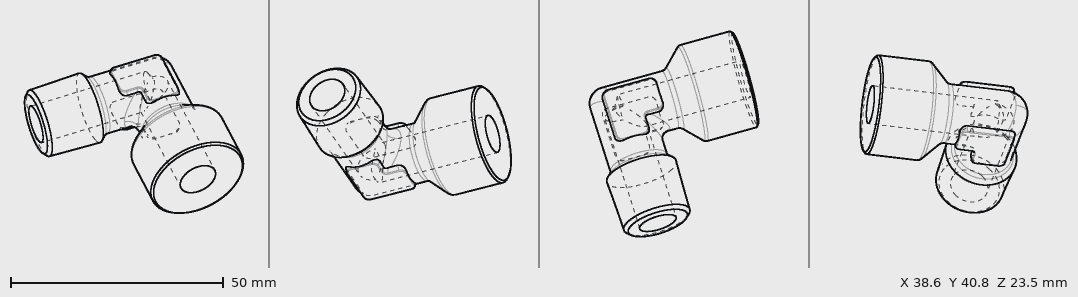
import cadquery as cq
import math

overall_width = 38.55
overall_length = 40.75
female_radius = 23.5 / 2
male_radius = 17.1 / 2
neck_radius = 14.0 / 2
male_direction = -90

female_length = overall_width - male_radius
male_length = overall_length - female_radius

female_shoulder = 17.0
female_rim_fillet = 1.0
female_end_chamfer = 0.5

male_shoulder = 15.35
male_end_chamfer = 0.85
male_taper = 1 / 16
male_end_radius = male_radius - (male_length - male_shoulder) * male_taper / 2

cone_root_fillet = 1.65

neck_overrun = 2 * neck_radius
outer_blend = neck_radius / 2
inner_blend = 2.5

pad_height = 7.1
pad_root = 4.08
pad_half_width = 3.95
pad_reach = 8.95
pad_draft = 10.0
pad_corner_radius = 1.4
pad_notch_radius = 0.98
pad_edge_fillet = 0.25

relief_height = 6.72
relief_half_width = 3.25

bore_radius = 8.95 / 2
drill_point_angle = 120.0


def circle_edge_at(x):
    """Selector for the circular edge of a turned arm in the plane at x."""
    margin = 0.05
    low = (x - margin, -overall_length, -overall_length)
    high = (x + margin, overall_length, overall_length)
    return cq.selectors.BoxSelector(low, high, boundingbox=True)


def turned_arm(length, shoulder, shoulder_radius, end_radius, end_chamfer):
    """Arm along +X: neck, filleted 45 degree cone, then the end with its chamfer."""
    cone_start = shoulder - (shoulder_radius - neck_radius)
    return (
        cq.Workplane("XY")
        .moveTo(-neck_overrun, 0)
        .lineTo(-neck_overrun, neck_radius)
        .lineTo(cone_start, neck_radius)
        .lineTo(shoulder, shoulder_radius)
        .lineTo(length, end_radius)
        .lineTo(length, 0)
        .close()
        .revolve(360, (0, 0, 0), (1, 0, 0))
        .faces(">X")
        .chamfer(end_chamfer)
        .edges(circle_edge_at(cone_start))
        .fillet(cone_root_fillet)
    )


def female_arm():
    arm = turned_arm(female_length, female_shoulder, female_radius, female_radius, female_end_chamfer)
    return arm.edges(circle_edge_at(female_shoulder)).fillet(female_rim_fillet)


def male_arm():
    arm = turned_arm(male_length, male_shoulder, male_radius, male_end_radius, male_end_chamfer)
    return arm.rotate((0, 0, 0), (0, 0, 1), male_direction)


def mitre_trim(arm, facing):
    """Keep the half of an arm beyond the Z axis in the facing direction (degrees)."""
    size = 2 * overall_length
    half_space = cq.Workplane("XY").box(size, size, size, centered=(False, True, True))
    return arm.intersect(half_space.rotate((0, 0, 0), (0, 0, 1), facing))


def elbow():
    """Both arms joined on the plane X = -Y, with the outer and inner edges blended."""
    body = mitre_trim(female_arm(), 45).union(mitre_trim(male_arm(), -135))

    relief_width = 2 * relief_half_width
    relief = cq.Workplane("XY").workplane(offset=relief_height)
    relief = relief.rect(relief_width, relief_width).extrude(neck_radius)
    body = body.cut(relief).cut(relief.mirror("XY"))

    r = neck_radius
    outer_edges = cq.selectors.BoxSelector((-r, 0, -r), (0, r, r))
    inner_edges = cq.selectors.BoxSelector((0, -r, -r), (r, 0, r))
    body = body.edges("%ELLIPSE").edges(outer_edges).fillet(outer_blend)
    return body.edges("%ELLIPSE").edges(inner_edges).fillet(inner_blend)


def pad_outline():
    """L outline of the flat face: five outer corners and one notch, all rounded."""
    half = pad_half_width
    corners = [
        (pad_reach, half, pad_corner_radius),
        (pad_reach, -half, pad_corner_radius),
        (half, -half, pad_notch_radius),
        (half, -pad_reach, pad_corner_radius),
        (-half, -pad_reach, pad_corner_radius),
        (-half, half, pad_corner_radius),
    ]
    outline = cq.Workplane("XY").moveTo(0, half)
    for index, (x, y, radius) in enumerate(corners):
        corner = cq.Vector(x, y)
        previous = cq.Vector(*corners[index - 1][:2])
        following = cq.Vector(*corners[(index + 1) % len(corners)][:2])
        to_start = (previous - corner).normalized() * radius
        to_end = (following - corner).normalized() * radius
        arc_start = corner + to_start
        arc_middle = corner + (to_start + to_end) * (1 - math.sqrt(0.5))
        arc_end = corner + to_end
        outline = outline.lineTo(arc_start.x, arc_start.y)
        outline = outline.threePointArc((arc_middle.x, arc_middle.y), (arc_end.x, arc_end.y))
    return outline.close()


def pad():
    """Upper pad, drafted outward from its flat face down into the elbow."""
    blank = pad_outline().extrude(pad_root - pad_height, taper=-pad_draft)
    return blank.faces(">Z").edges().fillet(pad_edge_fillet).translate((0, 0, pad_height))


def bore(length, direction):
    """Hole drilled from the end of an arm to the origin, with a conical bottom."""
    point_depth = bore_radius / math.tan(math.radians(drill_point_angle / 2))
    return (
        cq.Workplane("XY")
        .moveTo(-point_depth, 0)
        .lineTo(0, bore_radius)
        .lineTo(length, bore_radius)
        .lineTo(length, 0)
        .close()
        .revolve(360, (0, 0, 0), (1, 0, 0))
        .rotate((0, 0, 0), (0, 0, 1), direction)
    )


upper_pad = pad()
result = elbow().union(upper_pad).union(upper_pad.mirror("XY"))
result = result.cut(bore(female_length, 0)).cut(bore(male_length, male_direction))